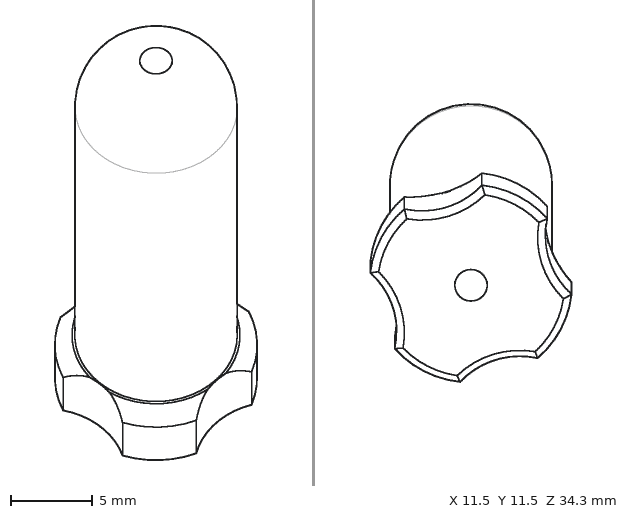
import cadquery as cq
import math

total_height = 34.27
body_radius = 5.0
hole_radius = 1.0

head_height = body_radius
head_radius = 6.25
head_top_radius = 5.17
head_taper_height = 1.0
foot_chamfer = 0.48

scallop_count = 4
scallop_half_width = 2.5
scallop_radius = body_radius

dome_center_height = total_height - math.sqrt(body_radius**2 - hole_radius**2)
dome_apex_height = dome_center_height + body_radius

lobe_corner_reach = math.sqrt(head_radius**2 - scallop_half_width**2)
scallop_center_reach = lobe_corner_reach + math.sqrt(scallop_radius**2 - scallop_half_width**2)


def make_post():
    """Round post with a hemispherical top, standing on the head."""
    cylinder = (
        cq.Workplane("XY", origin=(0, 0, head_height))
        .circle(body_radius)
        .extrude(dome_center_height - head_height)
    )
    dome = cq.Workplane("XY", origin=(0, 0, dome_center_height)).sphere(body_radius)
    return cylinder.union(dome)


def make_head():
    """Four-lobed head with a chamfered foot and a conical upper shoulder."""
    scallops = (
        cq.Workplane("XY")
        .polarArray(scallop_center_reach, 0, 360, scallop_count)
        .circle(scallop_radius)
        .extrude(head_height)
    )
    lobes = cq.Workplane("XY").circle(head_radius).extrude(head_height).cut(scallops)
    lobes = lobes.faces("<Z").edges().chamfer(foot_chamfer)

    shoulder_envelope = (
        cq.Workplane("XZ")
        .lineTo(head_radius, 0)
        .lineTo(head_radius, head_height - head_taper_height)
        .lineTo(head_top_radius, head_height)
        .lineTo(0, head_height)
        .close()
        .revolve(360, (0, 0, 0), (0, 1, 0))
    )
    return lobes.intersect(shoulder_envelope)


axial_hole = cq.Workplane("XY").circle(hole_radius).extrude(dome_apex_height)
result = make_head().union(make_post()).cut(axial_hole)